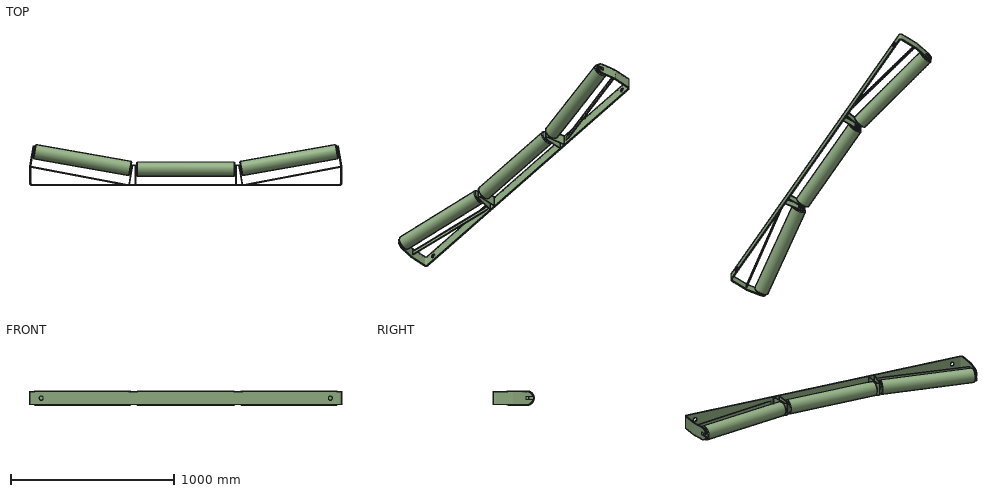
import cadquery as cq
import math


frame_length = 1910.0
strip_width = 80.0
strip_thickness = 8.0
bend_radius = 15.0
bend_height = 122.0
mount_hole_diameter = 25.0
mount_hole_inset = 70.0

roller_diameter = 90.0
roller_length = 600.0
roller_chamfer = 5.0
shaft_size = 17.0
centre_axis_height = 101.0
trough_angle = 10.0
side_roller_x = -632.0
side_roller_y = 157.0

cheek_tip_reach = 35.0

saddle_thickness = 4.0
saddle_gap = 5.0
saddle_top = 128.0
saddle_bend_radius = 10.0

brace_thickness = 5.0
brace_width = 30.0
brace_top_height = 118.0
brace_foot_x = -363.0

sin_trough = math.sin(math.radians(trough_angle))
cos_trough = math.cos(math.radians(trough_angle))
tan_trough = math.tan(math.radians(trough_angle))
half_frame = frame_length / 2
half_roller = roller_length / 2
side_plane = cq.Plane(
    origin=(side_roller_x, side_roller_y, 0),
    xDir=(cos_trough, -sin_trough, 0),
    normal=(0, 0, 1),
)
cheek_bend = side_plane.toLocalCoords(cq.Vector(-half_frame, bend_height, 0))
cheek_outer = cheek_bend.x
saddle_inner = half_roller + saddle_gap
saddle_outer = saddle_inner + saddle_thickness


def mirrored(body):
    """Copy of a left-hand body on the right-hand side."""
    return body.mirror("YZ")


def in_side_frame(body):
    """Move a body built about the origin onto the left side roller's axis."""
    return cq.Workplane(body.val().moved(cq.Location(side_plane)))


def make_roller(shaft_start, shaft_end):
    """Roller centred on the origin along X, with a square shaft through it."""
    drum = (
        cq.Workplane("YZ", origin=(-half_roller, 0, 0))
        .circle(roller_diameter / 2)
        .extrude(roller_length)
        .faces("<X or >X")
        .chamfer(roller_chamfer)
    )
    shaft = (
        cq.Workplane("YZ", origin=(shaft_start, 0, 0))
        .rect(shaft_size, shaft_size)
        .extrude(shaft_end - shaft_start)
    )
    return drum.union(shaft)


def make_shaft_slot(start, end):
    """Cutter for a slot seating a shaft on the X axis and open toward +Y."""
    slot_depth = roller_diameter
    return (
        cq.Workplane("XY")
        .box(end - start, slot_depth, shaft_size, centered=(False, False, True))
        .translate((start, -shaft_size / 2, 0))
    )


def make_cheek():
    """Inward-leaning rounded plate on top of the left upright, slotted for the shaft."""
    tip_radius = strip_width / 2
    shoulder = cheek_tip_reach - tip_radius
    cheek = (
        cq.Workplane("YZ", origin=(cheek_outer, 0, 0))
        .moveTo(cheek_bend.y, -tip_radius)
        .lineTo(shoulder, -tip_radius)
        .threePointArc((cheek_tip_reach, 0), (shoulder, tip_radius))
        .lineTo(cheek_bend.y, tip_radius)
        .close()
        .extrude(strip_thickness)
    )
    slot = make_shaft_slot(cheek_outer, cheek_outer + strip_thickness)
    return in_side_frame(cheek.cut(slot))


def make_frame():
    """Base strip bent up at both ends, with cheeks and two mounting holes."""
    outer = (
        cq.Workplane("XY")
        .box(frame_length, bend_height, strip_width, centered=(True, False, True))
        .edges("|Z and <Y")
        .fillet(bend_radius)
    )
    inner_length = frame_length - 2 * strip_thickness
    inner = (
        cq.Workplane("XY", origin=(0, strip_thickness, 0))
        .box(inner_length, bend_height, strip_width, centered=(True, False, True))
        .edges("|Z and <Y")
        .fillet(bend_radius - strip_thickness)
    )
    hole_x = half_frame - mount_hole_inset
    holes = (
        cq.Workplane("XZ")
        .pushPoints([(-hole_x, 0), (hole_x, 0)])
        .circle(mount_hole_diameter / 2)
        .extrude(-strip_thickness)
    )
    cheek = make_cheek()
    return outer.cut(inner).union(cheek).union(mirrored(cheek)).cut(holes)


def tilted_leg_x(local_x, y):
    """X of a plane square to the left roller axis, at height y."""
    return side_roller_x + local_x / cos_trough + (y - side_roller_y) * tan_trough


def make_saddle_block(inset, top, radius):
    """Filled saddle shape, one leg square to the side roller and one to the centre roller."""
    tilted_face = saddle_inner + inset
    upright_face = -saddle_inner - inset
    return (
        cq.Workplane("XY")
        .moveTo(tilted_leg_x(tilted_face, strip_thickness), strip_thickness)
        .lineTo(tilted_leg_x(tilted_face, top), top)
        .lineTo(upright_face, top)
        .lineTo(upright_face, strip_thickness)
        .close()
        .extrude(strip_width / 2, both=True)
        .edges("|Z and >Y")
        .fillet(radius)
    )


def make_saddle():
    """Left bent bracket seating the inner shaft ends of two neighbouring rollers."""
    outer = make_saddle_block(0, saddle_top, saddle_bend_radius)
    inner = make_saddle_block(
        saddle_thickness, saddle_top - saddle_thickness, saddle_bend_radius - saddle_thickness
    )
    side_slot = in_side_frame(make_shaft_slot(saddle_inner, saddle_outer))
    centre_slot = make_shaft_slot(-saddle_outer, -saddle_inner).translate((0, centre_axis_height, 0))
    return outer.cut(inner).cut(side_slot).cut(centre_slot)


def make_brace():
    """Left sloping strip from the upright down to the base, ends cut flush with both."""
    upright_face = -half_frame + strip_thickness
    brace_run = brace_foot_x - upright_face
    brace_rise = brace_top_height - strip_thickness
    brace_angle = math.atan2(brace_rise, brace_run)
    underside_height = brace_top_height - brace_thickness / math.cos(brace_angle)
    underside_foot_x = brace_foot_x - brace_thickness / math.sin(brace_angle)
    return (
        cq.Workplane("XY")
        .moveTo(upright_face, brace_top_height)
        .lineTo(brace_foot_x, strip_thickness)
        .lineTo(underside_foot_x, strip_thickness)
        .lineTo(upright_face, underside_height)
        .close()
        .extrude(brace_width / 2, both=True)
    )


frame = make_frame()
centre_roller = make_roller(-saddle_outer, saddle_outer).translate((0, centre_axis_height, 0))
side_roller = in_side_frame(make_roller(cheek_outer, saddle_outer))

bodies = [frame.solids().val(), centre_roller.solids().val()]
for left_body in (side_roller, make_saddle(), make_brace()):
    bodies.append(left_body.solids().val())
    bodies.append(mirrored(left_body).solids().val())

result = cq.Compound.makeCompound(bodies)